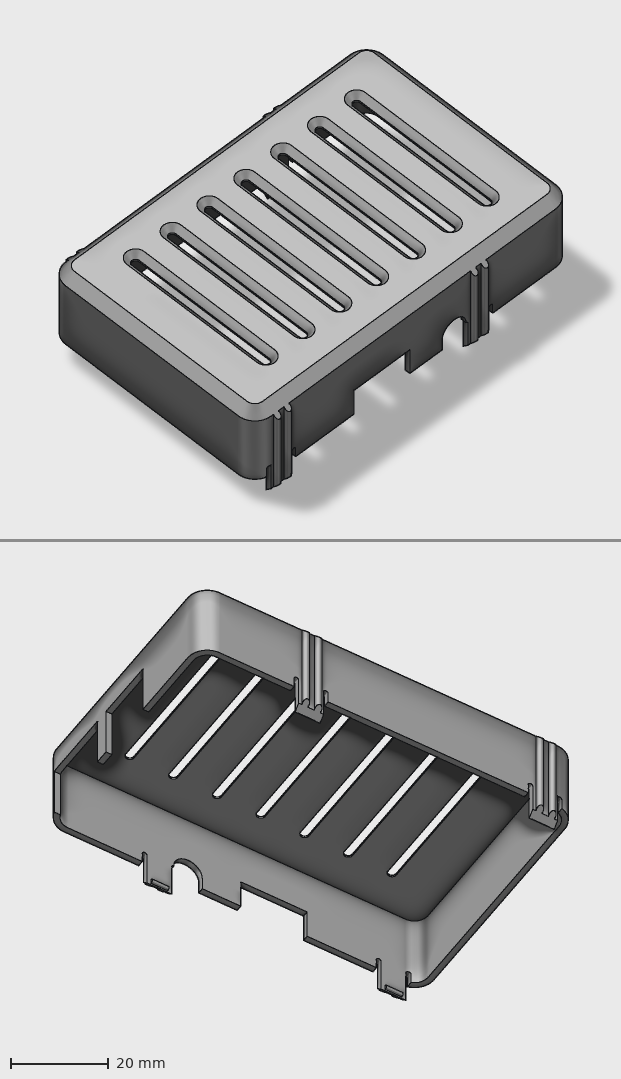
import cadquery as cq

WIDTH = 59.8
LENGTH = 91.0
HEIGHT = 20.25
WALL = 1.4
ROOF = 2.0
CORNER_RADIUS = 4.75
TOP_CHAMFER = 2.5

SLOT_COUNT = 7
SLOT_PITCH = 10.5
SLOT_THROAT_WIDTH = 2.0
SLOT_THROAT_LENGTH = 40.0
SLOT_FLARE_DEPTH = 1.5
SLOT_ROW_DRIFT = 0.065
SLOT_ROW_CENTER_X = 0.15

TAB_CENTERS_Y = (18.65, -37.83)
TAB_WIDTH = 6.0
TAB_DROP = 5.7
BEAD_LENGTH = 4.0
BEAD_RADIUS = 0.55
BEAD_RISE = 1.0
RELIEF_WIDTH = 1.1
RELIEF_HEIGHT = 3.0

RIB_SPACING = 3.0
RIB_WIDTH = 1.5
RIB_HEIGHT = 1.1

END_OPENINGS_X = ((-8.0, 6.2), (9.5, 26.2))
END_OPENING_HEIGHT = 12.0
SIDE_OPENING_Y = (-17.0, -1.0)
SIDE_OPENING_HEIGHT = 7.2
ARCHED_OPENING_Y = 11.7
ARCHED_OPENING_RADIUS = 3.4
ARCHED_OPENING_HEIGHT = 6.5

half_width = WIDTH / 2
inner_half_width = half_width - WALL
rib_reach = half_width + RIB_HEIGHT
half_length = LENGTH / 2


def rounded_block(width, length, height, corner_radius):
    block = cq.Workplane("XY").rect(width, length).extrude(height)
    return block.edges("|Z").fillet(corner_radius)


def make_shell():
    outside = rounded_block(WIDTH, LENGTH, HEIGHT, CORNER_RADIUS)
    outside = outside.faces(">Z").edges().chamfer(TOP_CHAMFER)
    cavity = rounded_block(
        2 * inner_half_width,
        LENGTH - 2 * WALL,
        HEIGHT - ROOF,
        CORNER_RADIUS - WALL,
    )
    return outside.cut(cavity)


def vent_slot(x, y):
    """Slot cutter: a straight throat through the roof and a 45 degree flare at the top."""
    throat = (
        cq.Workplane("XY", origin=(x, y, HEIGHT - ROOF))
        .slot2D(SLOT_THROAT_LENGTH, SLOT_THROAT_WIDTH)
        .extrude(ROOF)
    )
    flare = (
        cq.Workplane("XY", origin=(x, y, HEIGHT - SLOT_FLARE_DEPTH))
        .slot2D(SLOT_THROAT_LENGTH, SLOT_THROAT_WIDTH)
        .extrude(SLOT_FLARE_DEPTH, taper=-45)
    )
    return throat.union(flare)


def box_between(x_range, y_range, z_range):
    (x0, x1), (y0, y1), (z0, z1) = x_range, y_range, z_range
    box = cq.Workplane("XY", origin=(x0, y0, z0))
    return box.box(x1 - x0, y1 - y0, z1 - z0, centered=False)


def end_opening(x_range):
    """Rectangular opening through the +Y wall, including the rounded corner region."""
    y_range = (half_length - CORNER_RADIUS, half_length)
    return box_between(x_range, y_range, (0, END_OPENING_HEIGHT))


def side_opening():
    """Rectangular opening through the +X wall."""
    return box_between((inner_half_width, half_width), SIDE_OPENING_Y, (0, SIDE_OPENING_HEIGHT))


def arch_cutter(x_start, depth, y, radius, height):
    """Round-topped cutter standing on the rim plane and running along X."""
    spring_z = height - radius
    return (
        cq.Workplane("YZ", origin=(x_start, 0, 0))
        .moveTo(y - radius, 0)
        .lineTo(y - radius, spring_z)
        .threePointArc((y, height), (y + radius, spring_z))
        .lineTo(y + radius, 0)
        .close()
        .extrude(depth)
    )


def arched_opening():
    """Arched opening through the +X wall, merging with the notch beside the tab."""
    return arch_cutter(
        inner_half_width,
        WALL,
        ARCHED_OPENING_Y,
        ARCHED_OPENING_RADIUS,
        ARCHED_OPENING_HEIGHT,
    )


def relief_notch(y):
    """Round-topped notch cut through both side walls."""
    return arch_cutter(-half_width, WIDTH, y, RELIEF_WIDTH / 2, RELIEF_HEIGHT)


def rib(y):
    """Upright with a semicircular nose, running the full height of wall and tab."""
    nose_start = rib_reach - RIB_WIDTH / 2
    return (
        cq.Workplane("XY", origin=(0, 0, -TAB_DROP))
        .moveTo(inner_half_width, y - RIB_WIDTH / 2)
        .lineTo(nose_start, y - RIB_WIDTH / 2)
        .threePointArc((rib_reach, y), (nose_start, y + RIB_WIDTH / 2))
        .lineTo(inner_half_width, y + RIB_WIDTH / 2)
        .close()
        .extrude(TAB_DROP + HEIGHT)
    )


def side_envelope(y):
    """Limits a tab and its ribs by 45 degree planes: the top chamfer and the pointed tip."""
    shoulder_z = HEIGHT - TOP_CHAMFER
    return (
        cq.Workplane("XZ", origin=(0, y + TAB_WIDTH / 2, 0))
        .moveTo(inner_half_width, -TAB_DROP)
        .lineTo(rib_reach, -TAB_DROP + WALL + RIB_HEIGHT)
        .lineTo(rib_reach, shoulder_z - RIB_HEIGHT)
        .lineTo(half_width, shoulder_z)
        .lineTo(inner_half_width, shoulder_z)
        .close()
        .extrude(TAB_WIDTH)
    )


def snap_tab(y):
    """Tab on the +X wall with its two ribs and the inward snap bead."""
    tab = (
        cq.Workplane("XY", origin=(inner_half_width, y, -TAB_DROP))
        .box(WALL, TAB_WIDTH, TAB_DROP + RELIEF_HEIGHT, centered=(False, True, False))
    )
    for side in (-1, 1):
        tab = tab.union(rib(y + side * RIB_SPACING / 2))
    tab = tab.intersect(side_envelope(y))
    bead = (
        cq.Workplane("XZ", origin=(0, y + BEAD_LENGTH / 2, 0))
        .center(inner_half_width, BEAD_RISE - TAB_DROP)
        .circle(BEAD_RADIUS)
        .extrude(BEAD_LENGTH)
    )
    return tab.union(bead)


result = make_shell()

for index in range(SLOT_COUNT):
    step = index - (SLOT_COUNT - 1) / 2
    slot_x = SLOT_ROW_CENTER_X + step * SLOT_ROW_DRIFT
    result = result.cut(vent_slot(slot_x, step * SLOT_PITCH))

for opening_x in END_OPENINGS_X:
    result = result.cut(end_opening(opening_x))
result = result.cut(side_opening())
result = result.cut(arched_opening())

for tab_y in TAB_CENTERS_Y:
    for side in (-1, 1):
        notch_y = tab_y + side * (TAB_WIDTH + RELIEF_WIDTH) / 2
        result = result.cut(relief_notch(notch_y))
    tab = snap_tab(tab_y)
    result = result.union(tab).union(tab.mirror("YZ"))